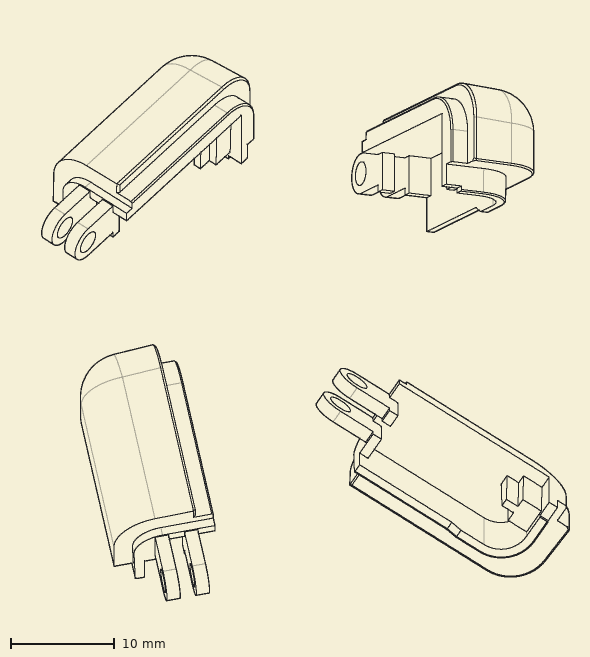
import cadquery as cq
import math

LENGTH = 26.67
WIDTH = 9.8
HEIGHT = 11.0

EDGE_REACH = 0.27

COVER_WIDTH = 8.05
COVER_FRONT = 6.45
COVER_FRONT_SLOPE = math.tan(math.radians(1))
COVER_BOTTOM = 2.48
COVER_ROUND = 4.21
TOP_SLOPE = math.tan(math.radians(2.2))
BACK_SLOPE = math.tan(math.radians(2.9))
COVER_CHAMFER = 0.21
RIM_CHAMFER = 0.15

RIDGE_TOP = 9.7
RIDGE_BACK = 25.12
RIDGE_ROUND = 4.03
RIDGE_CHAMFER = 0.15

BODY_FRONT = 5.73
BODY_BACK = 24.0
BODY_TOP = 8.83
BODY_SIDE = 1.81
BODY_SIDE_LEAN = 0.13
BODY_TOP_ROUND = 2.8
BODY_CORNER_ROUND = 3.87
BODY_CHAMFER = 0.13
FRONT_FOOT = 0.65
RAMP_START = 16.38
RAMP_END = 17.45
NOTCH_SIDE = 8.15
NOTCH_HEIGHT = 0.48

WALL = 0.95
CAVITY_TOP = 7.7
CAVITY_SIDE = 2.85
CAVITY_ROUND = 2.95
PANEL_BOTTOM = 4.0

BLOCK_BOTTOM = 1.2
BLOCK_SIDES = (5.7, 8.53)
BLOCK_DEPTH = 2.13
RIB_SIDES = (6.65, 7.68)
RIB_DEPTH = 1.33
RIB_TAPER = 0.13

LUG_THICKNESS = 1.3
LUG_SIDES = (3.9, 6.77)
LUG_RADIUS = 1.97
LUG_AXIS_Z = 6.67
LUG_HOLE = 2.3


def block(x0, x1, y0, y1, z0, z1):
    """Axis-aligned box between two opposite corners."""
    return cq.Workplane("XY").box(x1 - x0, y1 - y0, z1 - z0, centered=False).translate((x0, y0, z0))


def along_y(points, y0, y1):
    """Prism of an XZ outline running from y0 to y1."""
    return cq.Workplane("XZ", origin=(0, y0, 0)).polyline(points).close().extrude(y0 - y1)


def make_front_lean():
    """Wedge that tilts the front face back towards the top."""
    return (
        cq.Workplane("YZ")
        .polyline([
            (COVER_FRONT, COVER_BOTTOM),
            (COVER_FRONT, COVER_BOTTOM + HEIGHT),
            (COVER_FRONT + HEIGHT * COVER_FRONT_SLOPE, COVER_BOTTOM + HEIGHT),
        ])
        .close()
        .extrude(WIDTH)
    )


def make_cover():
    chamfer_start = COVER_WIDTH - COVER_CHAMFER
    section = [
        (0, COVER_BOTTOM),
        (COVER_WIDTH, COVER_BOTTOM),
        (COVER_WIDTH, HEIGHT + COVER_CHAMFER * TOP_SLOPE),
        (0, HEIGHT - chamfer_start * TOP_SLOPE),
    ]
    plan = [
        (0, COVER_FRONT),
        (COVER_WIDTH, COVER_FRONT),
        (COVER_WIDTH, LENGTH + COVER_CHAMFER * BACK_SLOPE),
        (0, LENGTH - chamfer_start * BACK_SLOPE),
    ]
    plan_prism = cq.Workplane("XY").polyline(plan).close().extrude(2 * HEIGHT)
    cover = along_y(section, COVER_FRONT, 2 * LENGTH).intersect(plan_prism)
    above_rim = cq.selectors.BoxSelector(
        (-EDGE_REACH, COVER_FRONT + EDGE_REACH, COVER_BOTTOM + EDGE_REACH),
        (COVER_WIDTH - EDGE_REACH, LENGTH + EDGE_REACH, HEIGHT + EDGE_REACH),
    )
    cover = cover.edges(above_rim).fillet(COVER_ROUND)
    cover = cover.cut(make_front_lean())
    cover = cover.faces("<Z").edges("not >X").chamfer(RIM_CHAMFER)
    return cover.faces(">X").edges("not <Z").chamfer(COVER_CHAMFER)


def make_ridge():
    ridge = block(COVER_WIDTH - COVER_CHAMFER, WIDTH, COVER_FRONT, RIDGE_BACK, COVER_BOTTOM, RIDGE_TOP)
    ridge = ridge.edges(">Y and >Z").fillet(RIDGE_ROUND)
    ridge = ridge.faces(">X").edges("not (<Z or <Y)").chamfer(RIDGE_CHAMFER)
    return ridge.cut(make_front_lean())


def make_body():
    section = [
        (BODY_SIDE + BODY_SIDE_LEAN, 0),
        (WIDTH, 0),
        (WIDTH, BODY_TOP),
        (BODY_SIDE, BODY_TOP),
        (BODY_SIDE, BODY_TOP - BODY_TOP_ROUND),
    ]
    body = along_y(section, BODY_FRONT, BODY_BACK)
    body = body.edges("|Y and >Z and <X").fillet(BODY_TOP_ROUND)
    back_corner = cq.selectors.BoxSelector(
        (BODY_SIDE - EDGE_REACH, BODY_BACK - EDGE_REACH, EDGE_REACH),
        (BODY_SIDE + EDGE_REACH, BODY_BACK + EDGE_REACH, BODY_TOP - BODY_TOP_ROUND),
    )
    body = body.edges(back_corner).fillet(BODY_CORNER_ROUND)

    raised_foot = (
        cq.Workplane("YZ")
        .polyline([(BODY_FRONT, 0), (RAMP_END, 0), (RAMP_START, FRONT_FOOT), (BODY_FRONT, FRONT_FOOT)])
        .close()
        .extrude(WIDTH)
    )
    body = body.cut(raised_foot)
    bottom_rim = cq.selectors.BoxSelector(
        (0, BODY_FRONT + EDGE_REACH, -EDGE_REACH),
        (WIDTH - EDGE_REACH, BODY_BACK + EDGE_REACH, FRONT_FOOT + EDGE_REACH),
    )
    body = body.edges(bottom_rim).edges("not |X").chamfer(BODY_CHAMFER)
    return body.cut(block(NOTCH_SIDE, WIDTH, BODY_FRONT, BODY_BACK, 0, NOTCH_HEIGHT))


def make_cavity():
    front_inside = BODY_FRONT + WALL
    cavity = block(CAVITY_SIDE, WIDTH, front_inside, BODY_BACK - WALL, 0, CAVITY_TOP)
    cavity = cavity.edges("|Z and <X and >Y").fillet(CAVITY_ROUND)
    panel_opening = block(CAVITY_SIDE, WIDTH, BODY_FRONT, front_inside, 0, CAVITY_TOP)
    first_lug, second_lug = LUG_SIDES
    for left, lug_side in ((CAVITY_SIDE, first_lug), (second_lug, second_lug)):
        right = lug_side + LUG_THICKNESS
        panel_opening = panel_opening.cut(block(left, right, BODY_FRONT, front_inside, PANEL_BOTTOM, CAVITY_TOP))
    return cavity.union(panel_opening)


def hanging_block(sides, front, back):
    """Block on the cavity ceiling whose two sides draw in towards its lower end."""
    left, right = sides
    section = [
        (left, CAVITY_TOP),
        (right, CAVITY_TOP),
        (right - RIB_TAPER, BLOCK_BOTTOM),
        (left + RIB_TAPER, BLOCK_BOTTOM),
    ]
    return along_y(section, front, back)


def make_lug(side):
    bottom = LUG_AXIS_Z - LUG_RADIUS
    top = LUG_AXIS_Z + LUG_RADIUS
    plate = block(side, side + LUG_THICKNESS, LUG_RADIUS, BODY_FRONT, bottom, top)
    axis = cq.Workplane("YZ", origin=(side, LUG_RADIUS, LUG_AXIS_Z))
    eye = axis.circle(LUG_RADIUS).extrude(LUG_THICKNESS)
    hole = axis.circle(LUG_HOLE / 2).extrude(LUG_THICKNESS)
    return plate.union(eye).cut(hole)


cavity_back = BODY_BACK - WALL
block_front = cavity_back - BLOCK_DEPTH

result = make_body().union(make_ridge()).union(make_cover()).cut(make_cavity())
result = result.union(hanging_block(BLOCK_SIDES, block_front, cavity_back))
result = result.union(hanging_block(RIB_SIDES, block_front - RIB_DEPTH, block_front))
for side in LUG_SIDES:
    result = result.union(make_lug(side))